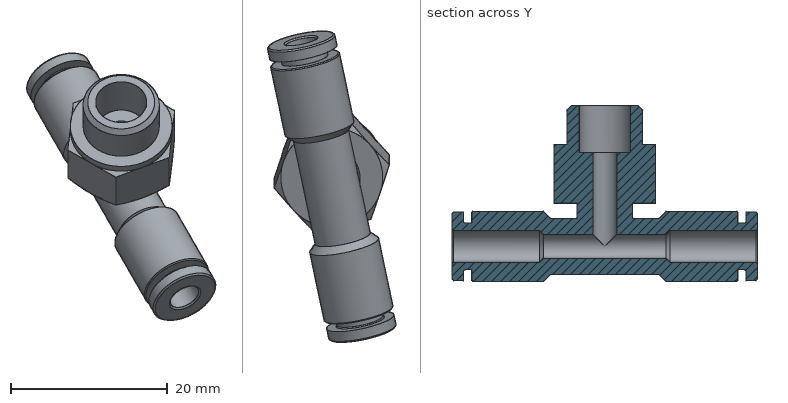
import cadquery as cq
import math


RUN_LENGTH = 39.0
STEM_DIAMETER = 7.2
SLEEVE_DIAMETER = 9.0
SLEEVE_OUTER_X = 17.0
SLEEVE_INNER_X = 7.8
SLEEVE_CHAMFER = 0.15

COLLAR_DIAMETER = 8.8
COLLAR_WIDTH = 1.5
COLLAR_CHAMFER = 0.2
NECK_DIAMETER = 6.0
NECK_FLARE = 0.15

FLOW_DIAMETER = 3.0
TUBE_DIAMETER = 4.0
TUBE_MOUTH_CHAMFER = 0.2
SOCKET_INNER_X = SLEEVE_INNER_X

BRANCH_TOP_Z = 18.0
THREAD_DIAMETER = 9.73
THREAD_LENGTH = 5.0
THREAD_CHAMFER = 0.6
THREAD_BORE_DIAMETER = 6.49
FLANGE_DIAMETER = 13.0
FLANGE_HEIGHT = 1.0
HEX_ACROSS_FLATS = 13.0
HEX_HEIGHT = 6.5
HEX_CHAMFER_ANGLE = 30.0
BLANK_MARGIN = 1.0

THREAD_BOTTOM_Z = BRANCH_TOP_Z - THREAD_LENGTH
HEX_TOP_Z = THREAD_BOTTOM_Z - FLANGE_HEIGHT
HEX_BOTTOM_Z = HEX_TOP_Z - HEX_HEIGHT


def cylinder_z(diameter, bottom, top):
    """Cylinder on the branch axis between two heights."""
    return cq.Workplane("XY", origin=(0, 0, bottom)).circle(diameter / 2).extrude(top - bottom)


def symmetric_revolve(half_outline):
    """Mirror the (x, radius) outline of the +X half and turn both halves about the run axis."""
    mirrored = [(-x, radius) for x, radius in reversed(half_outline)]
    return (
        cq.Workplane("XY")
        .polyline(mirrored + half_outline)
        .close()
        .revolve(360, (0, 0, 0), (1, 0, 0))
    )


def run():
    """The run along X: stem, sleeves, necks and release collars."""
    stem_r = STEM_DIAMETER / 2
    sleeve_r = SLEEVE_DIAMETER / 2
    neck_r = NECK_DIAMETER / 2
    collar_r = COLLAR_DIAMETER / 2
    end_x = RUN_LENGTH / 2
    collar_x = end_x - COLLAR_WIDTH
    taper_x = SLEEVE_INNER_X - (sleeve_r - stem_r)
    return symmetric_revolve([
        (taper_x, stem_r),
        (SLEEVE_INNER_X, sleeve_r),
        (SLEEVE_OUTER_X - SLEEVE_CHAMFER, sleeve_r),
        (SLEEVE_OUTER_X, sleeve_r - SLEEVE_CHAMFER),
        (SLEEVE_OUTER_X, neck_r),
        (collar_x - NECK_FLARE, neck_r),
        (collar_x, neck_r + NECK_FLARE),
        (collar_x, collar_r),
        (end_x - COLLAR_CHAMFER, collar_r),
        (end_x, collar_r - COLLAR_CHAMFER),
        (end_x, 0),
    ])


def run_bore():
    """Flow passage along X, widened by 45 degree cones into tube sockets with chamfered mouths."""
    flow_r = FLOW_DIAMETER / 2
    tube_r = TUBE_DIAMETER / 2
    end_x = RUN_LENGTH / 2
    return symmetric_revolve([
        (SOCKET_INNER_X, flow_r),
        (SOCKET_INNER_X + tube_r - flow_r, tube_r),
        (end_x - TUBE_MOUTH_CHAMFER, tube_r),
        (end_x, tube_r + TUBE_MOUTH_CHAMFER),
        (end_x, 0),
    ])


def hexagon():
    """Wrench hexagon with corners on +Y and -Y, its lower corners turned to a cone."""
    flat_r = HEX_ACROSS_FLATS / 2
    corner_r = flat_r / math.cos(math.pi / 6)
    prism = (
        cq.Workplane("XY", origin=(0, 0, HEX_BOTTOM_Z))
        .transformed(rotate=(0, 0, 90))
        .polygon(6, 2 * corner_r)
        .extrude(HEX_HEIGHT)
    )
    blank_r = corner_r + BLANK_MARGIN
    cone_height = (blank_r - flat_r) * math.tan(math.radians(HEX_CHAMFER_ANGLE))
    turned_blank = (
        cq.Workplane("XZ")
        .polyline([
            (0, HEX_BOTTOM_Z),
            (flat_r, HEX_BOTTOM_Z),
            (blank_r, HEX_BOTTOM_Z + cone_height),
            (blank_r, HEX_TOP_Z),
            (0, HEX_TOP_Z),
        ])
        .close()
        .revolve(360, (0, 0, 0), (0, 1, 0))
    )
    return prism.intersect(turned_blank)


def branch():
    """Stem, hexagon, sealing flange and threaded end, stacked along Z."""
    stem = cylinder_z(STEM_DIAMETER, 0, HEX_BOTTOM_Z)
    flange = cylinder_z(FLANGE_DIAMETER, HEX_TOP_Z, THREAD_BOTTOM_Z)
    thread = cylinder_z(THREAD_DIAMETER, THREAD_BOTTOM_Z, BRANCH_TOP_Z)
    thread = thread.faces(">Z").edges().chamfer(THREAD_CHAMFER)
    return stem.union(hexagon()).union(flange).union(thread)


def branch_bore():
    """Wide bore through thread and flange, then the flow passage down to the run."""
    wide = cylinder_z(THREAD_BORE_DIAMETER, HEX_TOP_Z, BRANCH_TOP_Z)
    return wide.union(cylinder_z(FLOW_DIAMETER, 0, HEX_TOP_Z))


body = run().union(branch())
result = body.cut(run_bore()).cut(branch_bore())